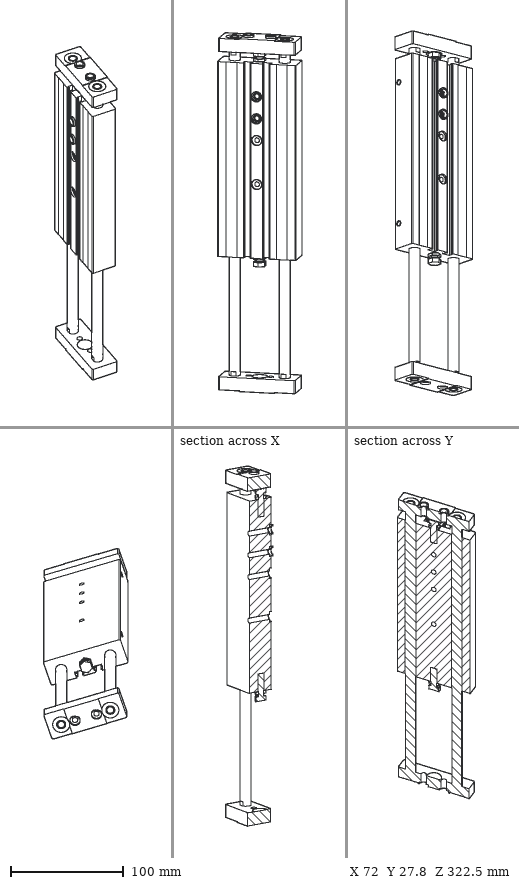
import cadquery as cq
import math


total_height = 322.5
housing_bottom = 122.0
housing_length = 177.0
housing_top = housing_bottom + housing_length

housing_width = 72.0
housing_depth = 24.0
housing_front = -housing_depth / 2
edge_chamfer = 1.0

slot_offset = 8.7
slot_mouth = 4.5
slot_mouth_step = 1.0
slot_lip = 2.0
slot_inner_width = 7.7
slot_depth = 5.8
strip_width = 9.7
strip_depth = 0.15

cross_hole_drops = [30.0, 50.0, 70.0, 110.0]
sleeved_hole_count = 2
thread_hole_diameter = 4.2

port_mouth_diameter = 4.8
port_mouth_depth = 0.5
port_depth = 6.5
port_y = 6.8
port_end_distance = 23.0

sleeve_diameter = 9.0
sleeve_bore = 6.0
sleeve_recess = 2.0
sleeve_chamfer = 0.3
sleeve_stand_out = 2.0
sleeve_length = sleeve_recess + sleeve_stand_out

rod_offset = 23.0
rod_diameter = 10.0
flat_width = 4.5
flat_length = 4.0
flat_distance = math.sqrt((rod_diameter / 2) ** 2 - (flat_width / 2) ** 2)

plate_width = 70.0
plate_depth = 25.0
plate_thickness = 12.0
plate_center_y = 1.3
pad_width = 32.2
pad_height = 0.5
plate_hole_diameter = 4.8
plate_hole_offset = 10.0
rod_screw_head_diameter = 15.0
rod_screw_socket_diameter = 8.0
rod_screw_core_diameter = 6.0
mark_depth = 0.15
stop_seat_diameter = 14.0
lower_plate_inner = pad_height + plate_thickness
upper_pad_face = total_height - sleeve_stand_out
upper_plate_inner = upper_pad_face - lower_plate_inner

stop_y = -0.5
hex_flats = 10.0
hex_corners = hex_flats / math.cos(math.pi / 6)
stop_protrusion = upper_plate_inner - housing_top
stop_head_height = 4.5
stop_nut_height = 2.5
hex_chamfer = 0.5
stop_thread_diameter = 6.0
stop_screw_depth = 16.0

cross_hole_heights = [housing_top - drop for drop in cross_hole_drops]
rod_centers = [(-rod_offset, 0), (rod_offset, 0)]
plate_hole_centers = [(-plate_hole_offset, 0), (plate_hole_offset, 0)]


def cylinder(diameter, start, length, direction):
    """A round body of the given length from a start point along a direction."""
    return cq.Solid.makeCylinder(diameter / 2, length, cq.Vector(*start), cq.Vector(*direction))


def slot_cutter(x):
    """T-slot with a stepped mouth, open to the housing front along its whole length."""
    half_mouth = slot_mouth / 2
    half_inner = slot_inner_width / 2
    mouth_edge = half_mouth + slot_mouth_step
    profile = [
        (-mouth_edge, 0),
        (-mouth_edge, slot_mouth_step),
        (-half_mouth, slot_mouth_step),
        (-half_mouth, slot_lip),
        (-half_inner, slot_lip),
        (-half_inner, slot_depth),
        (half_inner, slot_depth),
        (half_inner, slot_lip),
        (half_mouth, slot_lip),
        (half_mouth, slot_mouth_step),
        (mouth_edge, slot_mouth_step),
        (mouth_edge, 0),
    ]
    return (
        cq.Workplane("XY", origin=(x, housing_front, housing_bottom))
        .polyline(profile)
        .close()
        .extrude(housing_length)
    )


def strip_cutter(x):
    """Shallow strip in the housing front, in line with a rod."""
    return cq.Workplane("XY").box(strip_width, 2 * strip_depth, housing_length).translate(
        (x, housing_front, housing_bottom + housing_length / 2)
    )


def make_housing():
    housing = (
        cq.Workplane("XY", origin=(0, 0, housing_bottom))
        .rect(housing_width, housing_depth)
        .extrude(housing_length)
        .edges("|Z")
        .chamfer(edge_chamfer)
    )
    for side in (-1, 1):
        housing = housing.cut(slot_cutter(side * slot_offset))
        housing = housing.cut(strip_cutter(side * rod_offset))
        housing = housing.cut(
            cylinder(rod_diameter, (side * rod_offset, 0, housing_bottom), housing_length, (0, 0, 1))
        )

    for z in cross_hole_heights:
        start = (0, housing_front, z)
        housing = housing.cut(cylinder(thread_hole_diameter, start, housing_depth, (0, 1, 0)))
        housing = housing.cut(cylinder(sleeve_diameter, start, sleeve_recess, (0, 1, 0)))

    for z in (housing_bottom + port_end_distance, housing_top - port_end_distance):
        start = (-housing_width / 2, port_y, z)
        housing = housing.cut(cylinder(thread_hole_diameter, start, port_depth, (1, 0, 0)))
        housing = housing.cut(cylinder(port_mouth_diameter, start, port_mouth_depth, (1, 0, 0)))

    for z, inward in ((housing_bottom, 1), (housing_top, -1)):
        housing = housing.cut(
            cylinder(stop_thread_diameter, (0, stop_y, z), stop_screw_depth, (0, 0, inward))
        )
    return housing


def make_lower_plate():
    """End plate with a raised pad, rod screws and sleeve recesses on its outer face at Z = 0."""
    plate = (
        cq.Workplane("XY", origin=(0, plate_center_y, pad_height))
        .rect(plate_width, plate_depth)
        .extrude(plate_thickness)
        .edges("|Z")
        .chamfer(edge_chamfer)
    )
    pad = cq.Workplane("XY", origin=(0, plate_center_y, 0)).rect(pad_width, plate_depth).extrude(pad_height)
    plate = plate.union(pad)

    for x, y in rod_centers:
        head = cylinder(rod_screw_head_diameter, (x, y, 0), pad_height + mark_depth, (0, 0, 1))
        ring = cylinder(rod_screw_socket_diameter, (x, y, pad_height), 2 * mark_depth, (0, 0, 1)).cut(
            cylinder(rod_screw_core_diameter, (x, y, pad_height), 2 * mark_depth, (0, 0, 1))
        )
        plate = plate.cut(head).cut(ring)

    for x, y in plate_hole_centers:
        plate = plate.cut(cylinder(plate_hole_diameter, (x, y, 0), lower_plate_inner, (0, 0, 1)))
        plate = plate.cut(cylinder(sleeve_diameter, (x, y, 0), sleeve_recess, (0, 0, 1)))

    seat = cylinder(stop_seat_diameter, (0, 0, lower_plate_inner), mark_depth, (0, 0, -1))
    return plate.cut(seat)


def make_yoke():
    """Both end plates and both rods as one sliding body."""
    lower_plate = make_lower_plate()
    upper_plate = lower_plate.mirror("XY").translate((0, 0, upper_pad_face))
    rod_length = upper_plate_inner - lower_plate_inner
    rods = (
        cq.Workplane("XY", origin=(0, 0, lower_plate_inner))
        .pushPoints(rod_centers)
        .circle(rod_diameter / 2)
        .extrude(rod_length)
    )
    flat_heights = (lower_plate_inner + flat_length / 2, upper_plate_inner - flat_length / 2)
    for x, _ in rod_centers:
        for z in flat_heights:
            for side in (-1, 1):
                flat = cq.Workplane("XY").box(rod_diameter, rod_diameter, flat_length)
                y = side * (flat_distance + rod_diameter / 2)
                rods = rods.cut(flat.translate((x, y, z)))
    return lower_plate.union(rods).union(upper_plate)


def make_sleeve(seat, outward):
    """Centring sleeve half sunk into its recess; seat is the centre of the recess mouth."""
    mouth = cq.Plane(origin=seat, normal=outward)
    return (
        cq.Workplane(mouth)
        .workplane(offset=-sleeve_recess)
        .circle(sleeve_diameter / 2)
        .extrude(sleeve_length)
        .edges()
        .chamfer(sleeve_chamfer)
        .cut(cylinder(sleeve_bore, seat, 2 * sleeve_length, outward))
        .cut(cylinder(sleeve_bore, seat, 2 * sleeve_length, [-part for part in outward]))
    )


def hex_prism(bottom, height):
    """Upright hexagon with a corner toward -Y and its lower edge chamfered."""
    return (
        cq.Workplane("XY")
        .polygon(6, hex_corners)
        .extrude(height)
        .faces("<Z")
        .chamfer(hex_chamfer)
        .rotate((0, 0, 0), (0, 0, 1), 90)
        .translate((0, stop_y, bottom))
    )


def make_stop_screw():
    """Hex screw of the upper stop, with its head against the upper plate."""
    head = hex_prism(upper_plate_inner - stop_head_height, stop_head_height)
    shank_bottom = housing_top - stop_screw_depth
    shank_length = stop_screw_depth + stop_protrusion - stop_head_height
    shank = cylinder(stop_thread_diameter, (0, stop_y, shank_bottom), shank_length, (0, 0, 1))
    return head.union(cq.Workplane(shank))


def make_stop_nut():
    """Lock nut of the upper stop, against the housing top."""
    bore = cylinder(stop_thread_diameter, (0, stop_y, housing_top), stop_nut_height, (0, 0, 1))
    return hex_prism(housing_top, stop_nut_height).cut(bore)


def at_lower_end(body):
    """Mirror image of a body at the other end of the housing."""
    return body.mirror("XY", (0, 0, housing_bottom + housing_length / 2))


housing = make_housing()
yoke = make_yoke()

sleeves = []
for z in cross_hole_heights[:sleeved_hole_count]:
    sleeves.append(make_sleeve((0, housing_front, z), (0, -1, 0)).val())
for x, y in plate_hole_centers:
    sleeves.append(make_sleeve((x, y, upper_pad_face), (0, 0, 1)).val())

stop_parts = []
for upper_part in (make_stop_screw(), make_stop_nut()):
    stop_parts.append(upper_part.val())
    stop_parts.append(at_lower_end(upper_part).val())

result = cq.Compound.makeCompound([housing.val(), yoke.val(), *sleeves, *stop_parts])